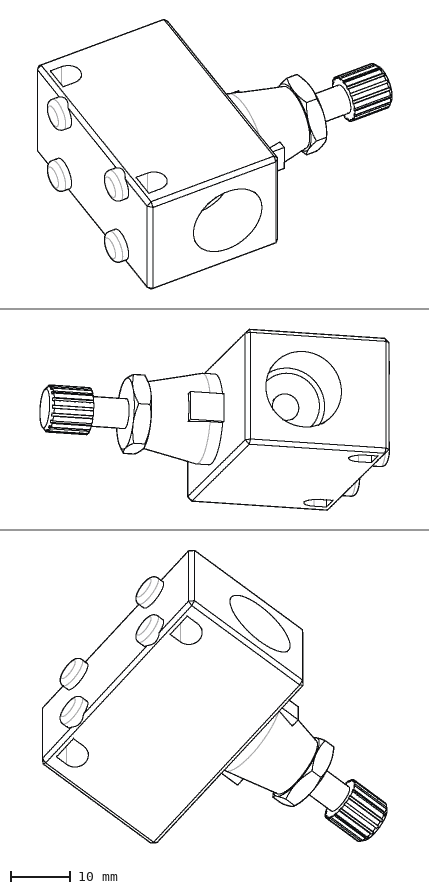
import cadquery as cq
import math

body_width = 40.0
body_depth = 25.0
body_height = 20.0
body_chamfer = 0.7

port_y = 15.0
port_mouth_diameter = 13.1
port_taper = 1 / 16
port_depth = 10.0
port_floor_diameter = port_mouth_diameter - port_taper * port_depth
seat_diameter = 10.7
seat_depth = 2.1
bore_diameter = 4.6

slot_spacing = 30.0
slot_width = 4.5
slot_front = 1.4
slot_back = 5.8

button_spacing_x = 20.0
button_spacing_z = 14.0
button_diameter = 5.5
button_height = 2.0
button_rounding = 0.9

adjuster_x = 3.0
collar_diameter = 15.3
collar_length = 2.2
cone_end_diameter = 11.1
cone_length = 9.8
lug_width = 16.0
lug_height = 4.8
lug_length = 5.75
nut_across_flats = 12.0
nut_thickness = 3.0
nut_chamfer_angle = 30
stem_diameter = 5.05
stem_length = 6.5
knob_diameter = 7.95
knob_length = 7.5
knob_chamfer = 0.7
groove_count = 18
groove_width = 0.5
groove_depth = 0.3

nut_start = body_depth + collar_length + cone_length
nut_end = nut_start + nut_thickness
knob_start = nut_end + stem_length


def plane_at(y):
    """Plane across the adjuster axis, facing +Y."""
    return cq.Plane(origin=(adjuster_x, y, 0), xDir=(1, 0, 0), normal=(0, 1, 0))


def revolve_on_adjuster(points):
    """Revolve a closed (radius, y) outline about the adjuster axis."""
    return (
        cq.Workplane("XY", origin=(adjuster_x, 0, 0))
        .polyline(points)
        .close()
        .revolve(360, (0, 0, 0), (0, 1, 0))
    )


def make_body():
    return (
        cq.Workplane("XY")
        .box(body_width, body_depth, body_height)
        .translate((0, body_depth / 2, 0))
        .edges()
        .chamfer(body_chamfer)
    )


def make_passage():
    """Cutter for both tapered ports, their conical seats and the cross hole."""
    mouth_x = body_width / 2
    floor_x = mouth_x - port_depth
    seat_end_x = floor_x - seat_depth
    half_outline = [
        (mouth_x, port_mouth_diameter / 2),
        (floor_x, port_floor_diameter / 2),
        (floor_x, seat_diameter / 2),
        (seat_end_x, bore_diameter / 2),
    ]
    mirrored = [(-x, radius) for x, radius in reversed(half_outline)]
    outline = [(mouth_x, 0)] + half_outline + mirrored + [(-mouth_x, 0)]
    return (
        cq.Workplane("XY", origin=(0, port_y, 0))
        .polyline(outline)
        .close()
        .revolve(360, (0, 0, 0), (1, 0, 0))
    )


def make_slots():
    """Cutters for the mounting slots: flat at the front, round at the back."""
    radius = slot_width / 2
    straight_end = slot_back - radius
    slot = (
        cq.Workplane("XY")
        .moveTo(-radius, slot_front)
        .lineTo(radius, slot_front)
        .lineTo(radius, straight_end)
        .threePointArc((0, slot_back), (-radius, straight_end))
        .close()
        .extrude(body_height / 2, both=True)
    )
    left_slot = slot.translate((-slot_spacing / 2, 0, 0))
    right_slot = slot.translate((slot_spacing / 2, 0, 0))
    return left_slot.union(right_slot)


def make_buttons():
    """Buttons rooted behind the body chamfers."""
    return (
        cq.Workplane("XZ", origin=(0, body_chamfer, 0))
        .rarray(button_spacing_x, button_spacing_z, 2, 2)
        .circle(button_diameter / 2)
        .extrude(button_height + body_chamfer)
        .faces("<Y")
        .edges()
        .fillet(button_rounding)
    )


def make_neck():
    """Collar, cone and stem turned on the adjuster axis."""
    collar_end = body_depth + collar_length
    return revolve_on_adjuster([
        (0, body_depth),
        (collar_diameter / 2, body_depth),
        (collar_diameter / 2, collar_end),
        (cone_end_diameter / 2, nut_start),
        (stem_diameter / 2, nut_start),
        (stem_diameter / 2, knob_start),
        (0, knob_start),
    ])


def make_lugs():
    """Flat bar crossing the collar, showing as a lug on either side."""
    return cq.Workplane(plane_at(body_depth)).rect(lug_width, lug_height).extrude(lug_length)


def make_nut():
    """Hexagon nut with corners on the X axis, chamfered on both faces."""
    flat_radius = nut_across_flats / 2
    corner_radius = flat_radius / math.cos(math.pi / 6)
    chamfer_drop = (corner_radius - flat_radius) * math.tan(math.radians(nut_chamfer_angle))
    hexagon = cq.Workplane(plane_at(nut_start)).polygon(6, 2 * corner_radius).extrude(nut_thickness)
    envelope = revolve_on_adjuster([
        (0, nut_start),
        (flat_radius, nut_start),
        (corner_radius, nut_start + chamfer_drop),
        (corner_radius, nut_end - chamfer_drop),
        (flat_radius, nut_end),
        (0, nut_end),
    ])
    return hexagon.intersect(envelope)


def make_knob():
    """Chamfered knob with straight grip grooves, one of them facing +Z."""
    radius = knob_diameter / 2
    knob = (
        cq.Workplane(plane_at(knob_start))
        .circle(radius)
        .extrude(knob_length)
        .faces(">Y")
        .chamfer(knob_chamfer)
    )
    grooves = (
        cq.Workplane(plane_at(knob_start))
        .polarArray(radius, 90, 360, groove_count)
        .rect(2 * groove_depth, groove_width)
        .extrude(knob_length)
    )
    return knob.cut(grooves)


result = (
    make_body()
    .cut(make_passage())
    .cut(make_slots())
    .union(make_buttons())
    .union(make_neck())
    .union(make_lugs())
    .union(make_nut())
    .union(make_knob())
)